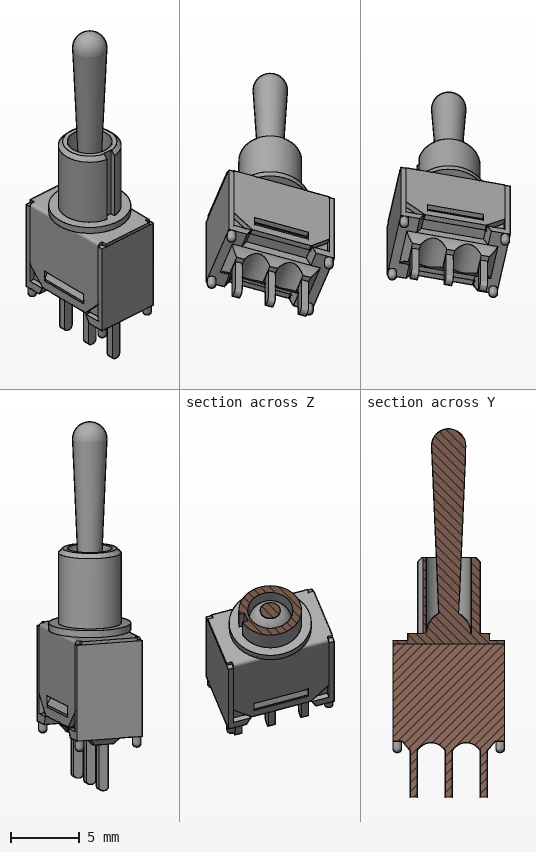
import cadquery as cq
import math


CASE_LENGTH = 8.15
CASE_WIDTH = 5.1
HOUSING_HEIGHT = 7.35
COVER_TOP_THICKNESS = 0.25
CASE_HEIGHT = HOUSING_HEIGHT - COVER_TOP_THICKNESS
POST_SIZE = 0.4
WINDOW_SILL = 0.65

PANEL_THICKNESS = POST_SIZE
PANEL_HALF_LENGTH = CASE_LENGTH / 2 - POST_SIZE
PANEL_BOTTOM = 0.73
PANEL_CORNER_CUT = 1.4
PANEL_FOOT_HALF_LENGTH = PANEL_HALF_LENGTH - PANEL_CORNER_CUT
BEND_RADIUS = COVER_TOP_THICKNESS

SNAP_LENGTH = 4.16
SNAP_BOTTOM = 1.42
SNAP_HEIGHT = 0.83
SNAP_FLAT_HEIGHT = 0.15

TERMINAL_PITCH = 2.55
TERMINAL_X = [-TERMINAL_PITCH, 0, TERMINAL_PITCH]
TERMINAL_THICKNESS = 0.55
TERMINAL_WIDTH = 0.75
TERMINAL_LENGTH = 4.08
TERMINAL_TIP_RADIUS = 0.32
SEAL_HEIGHT = 0.65
SEAL_HALF_LENGTH = 3.39
SEAL_HALF_WIDTH = 1.37
SEAL_TIP_HALF_LENGTH = 0.3
SEAL_TIP_HALF_WIDTH = 0.78
SEAL_ARCH_GAP = 0.1
SEAL_FLANK_X = 1.0
SEAL_FLANK_Z = -0.32

NOTCH_DEPTH = CASE_WIDTH / 2 - SEAL_HALF_WIDTH
NOTCH_BOTTOM_HALF_LENGTH = 2.65
NOTCH_TOP_HALF_LENGTH = 2.3

PEG_DIAMETER = 0.65
PEG_STRAIGHT = 0.5
PEG_X = (CASE_LENGTH - PEG_DIAMETER) / 2
PEG_Y = (CASE_WIDTH - PEG_DIAMETER) / 2

FLANGE_DIAMETER = 6.0
FLANGE_THICKNESS = 0.5
FLANGE_TOP = HOUSING_HEIGHT + FLANGE_THICKNESS
BUSHING_DIAMETER = 4.6
BUSHING_TOP = 13.4
BUSHING_CHAMFER = 0.32
BORE_DIAMETER = 3.25
KEYWAY_WIDTH = 0.73
KEYWAY_FLOOR_X = 1.88
LEVER_TOP = 26.87 - TERMINAL_LENGTH
LEVER_TIP_RADIUS = 1.25
LEVER_TIP_CENTER = LEVER_TOP - LEVER_TIP_RADIUS
LEVER_NECK_RADIUS = 0.91
BALL_RADIUS = BORE_DIAMETER / 2
BALL_CENTER = FLANGE_TOP


def both_sides(front_shape):
    """A front (-Y) shape together with its mirror image at the back."""
    return front_shape.union(front_shape.mirror("XZ"))


def panel_recess():
    """Space in the front of the case that takes the cover panel."""
    return (
        cq.Workplane("XY")
        .box(2 * PANEL_HALF_LENGTH, PANEL_THICKNESS, CASE_HEIGHT - WINDOW_SILL, centered=(True, False, False))
        .translate((0, -CASE_WIDTH / 2, WINDOW_SILL))
    )


def snap_wedge():
    """Wedge on the front of the case, sloping outward from top to bottom."""
    outer_y = -CASE_WIDTH / 2
    inner_y = outer_y + PANEL_THICKNESS
    return (
        cq.Workplane("YZ")
        .polyline([
            (inner_y, SNAP_BOTTOM),
            (outer_y, SNAP_BOTTOM),
            (outer_y, SNAP_BOTTOM + SNAP_FLAT_HEIGHT),
            (inner_y, SNAP_BOTTOM + SNAP_HEIGHT),
        ])
        .close()
        .extrude(SNAP_LENGTH / 2, both=True)
    )


def lower_notch():
    """Trapezoid notch under the front panel."""
    return (
        cq.Workplane("XZ", origin=(0, -CASE_WIDTH / 2, 0))
        .polyline([
            (-NOTCH_BOTTOM_HALF_LENGTH, 0),
            (NOTCH_BOTTOM_HALF_LENGTH, 0),
            (NOTCH_TOP_HALF_LENGTH, PANEL_BOTTOM),
            (-NOTCH_TOP_HALF_LENGTH, PANEL_BOTTOM),
        ])
        .close()
        .extrude(-NOTCH_DEPTH)
    )


def terminal_seal():
    """Seal below the case: arched between the terminals, tapering in width."""
    outer_tip = TERMINAL_PITCH + SEAL_TIP_HALF_LENGTH
    inner_tip = TERMINAL_PITCH - SEAL_TIP_HALF_LENGTH
    arch_middle = TERMINAL_PITCH / 2
    lengthwise = (
        cq.Workplane("XZ")
        .moveTo(-SEAL_HALF_LENGTH, 0)
        .lineTo(-outer_tip, -SEAL_HEIGHT)
        .lineTo(-inner_tip, -SEAL_HEIGHT)
        .threePointArc((-arch_middle, -SEAL_ARCH_GAP), (-SEAL_TIP_HALF_LENGTH, -SEAL_HEIGHT))
        .lineTo(SEAL_TIP_HALF_LENGTH, -SEAL_HEIGHT)
        .threePointArc((arch_middle, -SEAL_ARCH_GAP), (inner_tip, -SEAL_HEIGHT))
        .lineTo(outer_tip, -SEAL_HEIGHT)
        .lineTo(SEAL_HALF_LENGTH, 0)
        .close()
        .extrude(SEAL_HALF_WIDTH, both=True)
    )
    crosswise = (
        cq.Workplane("YZ")
        .moveTo(-SEAL_HALF_WIDTH, 0)
        .threePointArc((-SEAL_FLANK_X, SEAL_FLANK_Z), (-SEAL_TIP_HALF_WIDTH, -SEAL_HEIGHT))
        .lineTo(SEAL_TIP_HALF_WIDTH, -SEAL_HEIGHT)
        .threePointArc((SEAL_FLANK_X, SEAL_FLANK_Z), (SEAL_HALF_WIDTH, 0))
        .close()
        .extrude(SEAL_HALF_LENGTH, both=True)
    )
    return lengthwise.intersect(crosswise)


def terminal(x):
    """Flat blade with a rounded tip."""
    return (
        cq.Workplane("XY")
        .box(TERMINAL_THICKNESS, TERMINAL_WIDTH, TERMINAL_LENGTH, centered=(True, True, False))
        .edges("<Z and |X")
        .fillet(TERMINAL_TIP_RADIUS)
        .translate((x, 0, -TERMINAL_LENGTH))
    )


def peg(x, y):
    """Round locating peg with a hemispherical tip."""
    radius = PEG_DIAMETER / 2
    straight = cq.Workplane("XY").circle(radius).extrude(-PEG_STRAIGHT)
    tip = cq.Workplane("XY").sphere(radius).translate((0, 0, -PEG_STRAIGHT))
    return straight.union(tip).translate((x, y, 0))


def make_case():
    case = cq.Workplane("XY").box(CASE_LENGTH, CASE_WIDTH, CASE_HEIGHT, centered=(True, True, False))
    case = case.cut(both_sides(panel_recess()))
    case = case.union(both_sides(snap_wedge()))
    case = case.cut(both_sides(lower_notch()))
    case = case.union(terminal_seal())
    for x in TERMINAL_X:
        case = case.union(terminal(x))
    for x in (-PEG_X, PEG_X):
        for y in (-PEG_Y, PEG_Y):
            case = case.union(peg(x, y))
    return case


def cover_top():
    """Cover plate between the two panels."""
    return (
        cq.Workplane("XY")
        .box(CASE_LENGTH, CASE_WIDTH - 2 * POST_SIZE, COVER_TOP_THICKNESS, centered=(True, True, False))
        .translate((0, 0, CASE_HEIGHT))
    )


def cover_panel():
    """Front panel: cut lower corners, rounded top bend and snap window."""
    panel = (
        cq.Workplane("XZ", origin=(0, -CASE_WIDTH / 2, 0))
        .polyline([
            (-PANEL_HALF_LENGTH, HOUSING_HEIGHT),
            (-PANEL_HALF_LENGTH, PANEL_BOTTOM + PANEL_CORNER_CUT),
            (-PANEL_FOOT_HALF_LENGTH, PANEL_BOTTOM),
            (PANEL_FOOT_HALF_LENGTH, PANEL_BOTTOM),
            (PANEL_HALF_LENGTH, PANEL_BOTTOM + PANEL_CORNER_CUT),
            (PANEL_HALF_LENGTH, HOUSING_HEIGHT),
        ])
        .close()
        .extrude(-PANEL_THICKNESS)
        .edges(">Z and <Y")
        .fillet(BEND_RADIUS)
    )
    window = (
        cq.Workplane("XY")
        .box(SNAP_LENGTH, PANEL_THICKNESS, SNAP_HEIGHT, centered=(True, False, False))
        .translate((0, -CASE_WIDTH / 2, SNAP_BOTTOM))
    )
    return panel.cut(window)


def bushing():
    """Flange and chamfered tube with a keyway on the +X side."""
    flange = (
        cq.Workplane("XY", origin=(0, 0, HOUSING_HEIGHT))
        .circle(FLANGE_DIAMETER / 2)
        .extrude(FLANGE_THICKNESS)
    )
    tube = (
        cq.Workplane("XY", origin=(0, 0, FLANGE_TOP))
        .circle(BUSHING_DIAMETER / 2)
        .extrude(BUSHING_TOP - FLANGE_TOP)
        .faces(">Z")
        .chamfer(BUSHING_CHAMFER)
    )
    bore = (
        cq.Workplane("XY", origin=(0, 0, BALL_CENTER))
        .circle(BORE_DIAMETER / 2)
        .extrude(BUSHING_TOP - BALL_CENTER)
    )
    keyway = (
        cq.Workplane("XY")
        .box(BUSHING_DIAMETER, KEYWAY_WIDTH, BUSHING_TOP - FLANGE_TOP, centered=(False, True, False))
        .translate((KEYWAY_FLOOR_X, 0, FLANGE_TOP))
    )
    return flange.union(tube.cut(bore).cut(keyway))


def lever():
    """Tapered lever with a round tip, growing out of a ball that fills the bore."""
    taper = (LEVER_TIP_RADIUS - LEVER_NECK_RADIUS) / (LEVER_TIP_CENTER - BUSHING_TOP)
    root_radius = LEVER_NECK_RADIUS - taper * (BUSHING_TOP - BALL_CENTER)
    mid_arc = math.radians(45)
    handle = (
        cq.Workplane("XZ")
        .moveTo(0, BALL_CENTER)
        .lineTo(root_radius, BALL_CENTER)
        .lineTo(LEVER_TIP_RADIUS, LEVER_TIP_CENTER)
        .threePointArc(
            (LEVER_TIP_RADIUS * math.cos(mid_arc), LEVER_TIP_CENTER + LEVER_TIP_RADIUS * math.sin(mid_arc)),
            (0, LEVER_TOP),
        )
        .close()
        .revolve(360, (0, 0, 0), (0, 1, 0))
    )
    half_ball = (
        cq.Workplane("XY")
        .sphere(BALL_RADIUS, angle1=0)
        .translate((0, 0, BALL_CENTER))
    )
    return handle.union(half_ball)


def make_cover():
    cover = cover_top().union(both_sides(cover_panel()))
    return cover.union(bushing()).union(lever())


case = make_case()
cover = make_cover()

result = cq.Compound.makeCompound([case.solids().val(), cover.solids().val()])